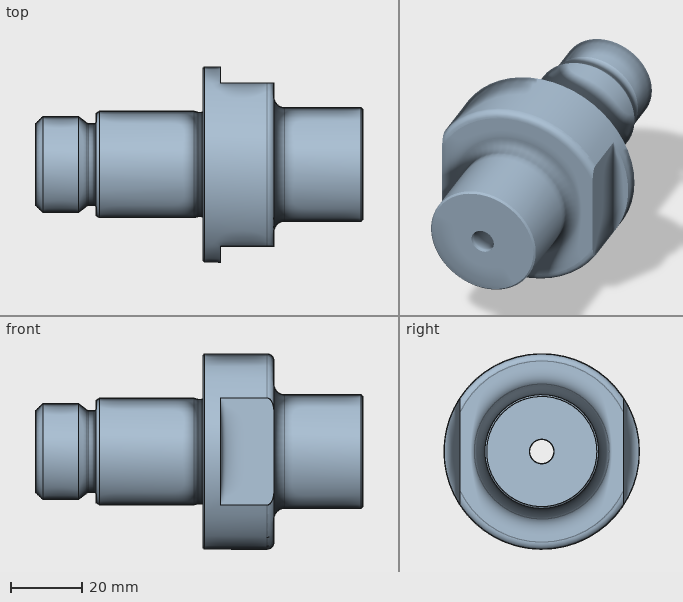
import math

import cadquery as cq


nose_radius = 13.5
nose_chamfer = 2.0
nose_end = 12.0
groove_radius = 11.5
groove_flank_end = 14.6
groove_fillet = 0.6

journal_start = 17.0
journal_radius = 15.0
lead_in_length = 1.0
lead_in_angle = 30.0

undercut_length = 2.5
undercut_depth = 0.3
undercut_face_depth = 0.2
undercut_face_height = 2.1
undercut_fillet = 0.6
undercut_angle = 15.0

flange_start = 47.0
flange_thickness = 20.0
flange_radius = 27.5
flange_chamfer = 0.5
flange_fillet = 2.0
across_flats = 46.0
flat_start = 52.0

shank_radius = 16.0
shank_chamfer = 0.5
shank_root_fillet = 3.0
total_length = 92.0

bore_radius = 3.4
bore_mouth_radius = 4.0

flange_end = flange_start + flange_thickness
bore_chamfer = bore_mouth_radius - bore_radius


def arc_middle(center, radius, start_angle, end_angle):
    """Middle point of an arc, angles in degrees."""
    angle = math.radians((start_angle + end_angle) / 2)
    return (center[0] + radius * math.cos(angle), center[1] + radius * math.sin(angle))


def turned_body():
    """Revolve the half outline, given as (X, radius) points."""
    flank_slope = math.atan2(nose_radius - groove_radius, groove_flank_end - nose_end)
    flank_tangent = groove_fillet * math.tan(flank_slope / 2)
    flank_arc_start = (
        groove_flank_end - flank_tangent * math.cos(flank_slope),
        groove_radius + flank_tangent * math.sin(flank_slope),
    )
    flank_arc_end = (groove_flank_end + flank_tangent, groove_radius)
    flank_arc_center = (flank_arc_end[0], groove_radius + groove_fillet)
    flank_arc_middle = arc_middle(flank_arc_center, groove_fillet, 270 - math.degrees(flank_slope), 270)

    shoulder_arc_center = (journal_start - groove_fillet, groove_radius + groove_fillet)
    shoulder_arc_middle = arc_middle(shoulder_arc_center, groove_fillet, 270, 360)
    lead_in_drop = lead_in_length * math.tan(math.radians(lead_in_angle))

    undercut_start = flange_start - undercut_length
    undercut_radius = journal_radius - undercut_depth
    ramp_length = undercut_depth / math.tan(math.radians(undercut_angle))
    undercut_bottom = flange_start + undercut_face_depth
    undercut_arc_center = (undercut_bottom - undercut_fillet, undercut_radius + undercut_fillet)
    undercut_arc_middle = arc_middle(undercut_arc_center, undercut_fillet, 270, 360)

    rim_arc_center = (flange_end - flange_fillet, flange_radius - flange_fillet)
    rim_arc_middle = arc_middle(rim_arc_center, flange_fillet, 90, 0)
    root_arc_center = (flange_end + shank_root_fillet, shank_radius + shank_root_fillet)
    root_arc_middle = arc_middle(root_arc_center, shank_root_fillet, 180, 270)

    outline = (
        cq.Workplane("XY")
        .moveTo(0, 0)
        .lineTo(0, nose_radius - nose_chamfer)
        .lineTo(nose_chamfer, nose_radius)
        .lineTo(nose_end, nose_radius)
        .lineTo(*flank_arc_start)
        .threePointArc(flank_arc_middle, flank_arc_end)
        .lineTo(shoulder_arc_center[0], groove_radius)
        .threePointArc(shoulder_arc_middle, (journal_start, shoulder_arc_center[1]))
        .lineTo(journal_start, journal_radius - lead_in_drop)
        .lineTo(journal_start + lead_in_length, journal_radius)
        .lineTo(undercut_start, journal_radius)
        .lineTo(undercut_start + ramp_length, undercut_radius)
        .lineTo(undercut_arc_center[0], undercut_radius)
        .threePointArc(undercut_arc_middle, (undercut_bottom, undercut_arc_center[1]))
        .lineTo(flange_start, undercut_radius + undercut_face_height)
        .lineTo(flange_start, flange_radius - flange_chamfer)
        .lineTo(flange_start + flange_chamfer, flange_radius)
        .lineTo(rim_arc_center[0], flange_radius)
        .threePointArc(rim_arc_middle, (flange_end, rim_arc_center[1]))
        .lineTo(flange_end, root_arc_center[1])
        .threePointArc(root_arc_middle, (root_arc_center[0], shank_radius))
        .lineTo(total_length - shank_chamfer, shank_radius)
        .lineTo(total_length, shank_radius - shank_chamfer)
        .lineTo(total_length, 0)
        .close()
    )
    return outline.revolve(360, (0, 0, 0), (1, 0, 0))


def cut_wrench_flats(body):
    """Mill a flat on the -Y and +Y sides of the flange, open to its rear."""
    flat_depth = flange_radius - across_flats / 2
    flat_length = flange_end - flat_start
    for side in (-1, 1):
        cutter = cq.Workplane("XY").box(flat_length, flat_depth, 2 * flange_radius).translate(
            (flat_start + flat_length / 2, side * (across_flats + flat_depth) / 2, 0)
        )
        body = body.cut(cutter)
    return body


def cut_bore(body):
    """Drill through along X and chamfer the mouth in the nose face."""
    bore = (
        cq.Workplane("XY")
        .moveTo(0, 0)
        .lineTo(0, bore_mouth_radius)
        .lineTo(bore_chamfer, bore_radius)
        .lineTo(total_length, bore_radius)
        .lineTo(total_length, 0)
        .close()
        .revolve(360, (0, 0, 0), (1, 0, 0))
    )
    return body.cut(bore)


result = cut_bore(cut_wrench_flats(turned_body()))